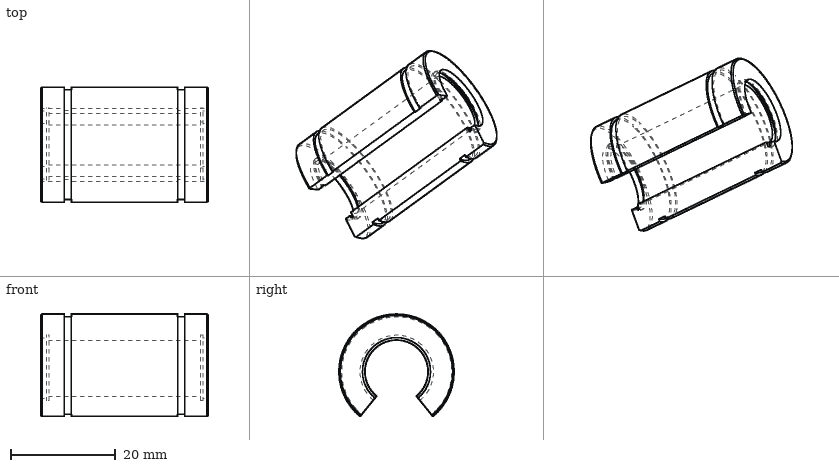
import cadquery as cq
import math

length = 32.0
outer_diameter = 22.0
bore_diameter = 12.0
end_chamfer = 0.3

counterbore_diameter = 13.0
counterbore_depth = 1.55

undercut_diameter = 14.0
undercut_width = 0.4

groove_diameter = 21.0
groove_width = 1.3
groove_outer_span = 22.9

opening_angle = 78.0


def cylinder_along_x(diameter, start, width):
    return cq.Workplane("YZ", origin=(start, 0, 0)).circle(diameter / 2).extrude(width)


def retaining_groove(start):
    outside = cylinder_along_x(outer_diameter + groove_width, start, groove_width)
    return outside.cut(cylinder_along_x(groove_diameter, start, groove_width))


def opening_wedge():
    depth = outer_diameter
    half_width = depth * math.tan(math.radians(opening_angle / 2))
    profile = [(0, 0), (half_width, -depth), (-half_width, -depth)]
    return cq.Workplane("YZ", origin=(-length / 2, 0, 0)).polyline(profile).close().extrude(length)


sleeve = cylinder_along_x(outer_diameter, -length / 2, length)
sleeve = sleeve.faces("<X or >X").edges().chamfer(end_chamfer)
sleeve = sleeve.cut(cylinder_along_x(bore_diameter, -length / 2, length))

for counterbore_start in (-length / 2, length / 2 - counterbore_depth):
    sleeve = sleeve.cut(cylinder_along_x(counterbore_diameter, counterbore_start, counterbore_depth))

undercut_offset = length / 2 - counterbore_depth
for undercut_start in (-undercut_offset - undercut_width, undercut_offset):
    sleeve = sleeve.cut(cylinder_along_x(undercut_diameter, undercut_start, undercut_width))

for groove_start in (-groove_outer_span / 2, groove_outer_span / 2 - groove_width):
    sleeve = sleeve.cut(retaining_groove(groove_start))

result = sleeve.cut(opening_wedge())